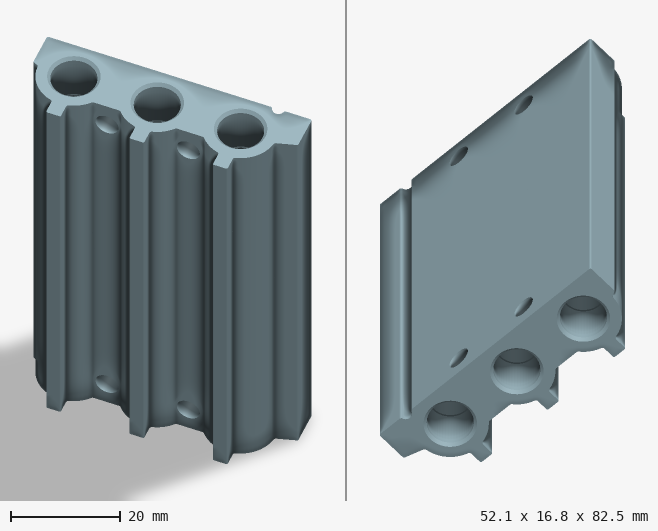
import cadquery as cq
import math

width = 52.1
depth = 16.8
length = 82.5

bore_count = 3
bore_pitch = 16.4
first_bore_x = 8.2
bore_xs = [first_bore_x + i * bore_pitch for i in range(bore_count)]
bore_y = -7.0
bore_diameter = 8.0
port_diameter = 8.6
port_depth = 9.9
port_mouth_diameter = 9.7
lobe_radius = 7.0
fin_width = 2.9

side_thickness = 6.6
left_slope = math.radians(25)
right_slope = math.radians(16)
web_thickness = 11.4
corner_radius = 0.3
fin_tip_radius = 0.25
root_radius = 0.5

groove_x = 45.5
groove_radius = 1.15
groove_mouth_radius = 0.5

hole_diameter = 4.5
hole_spacing = 16.0
hole_center_x = 24.5
hole_end_distance = 5.0


def plate():
    """Back plate with rounded corners that tapers from the outer lobes to both sides."""
    left_bore_x = bore_xs[0]
    right_bore_x = bore_xs[-1]
    left_slope_y = -side_thickness - left_bore_x * math.tan(left_slope)
    right_slope_y = -side_thickness - (width - right_bore_x) * math.tan(right_slope)
    outline = [
        (0, 0),
        (width, 0),
        (width, -side_thickness),
        (right_bore_x, right_slope_y),
        (right_bore_x, -web_thickness),
        (left_bore_x, -web_thickness),
        (left_bore_x, left_slope_y),
        (0, -side_thickness),
    ]
    slab = cq.Workplane("XY").polyline(outline).close().extrude(length)
    return slab.edges("|Z and (<X or >X)").fillet(corner_radius)


def lobe_with_fin(x):
    """Round lobe around one bore with the fin that points toward -Y."""
    lobe = cq.Workplane("XY").center(x, bore_y).circle(lobe_radius).extrude(length)
    fin_height = depth + bore_y
    fin = (
        cq.Workplane("XY")
        .center(x, bore_y - fin_height / 2)
        .rect(fin_width, fin_height)
        .extrude(length)
        .edges("|Z and <Y")
        .fillet(fin_tip_radius)
    )
    return lobe.union(fin)


def bore(x):
    """Through bore with a wider, chamfered port at each end."""
    chamfer = (port_mouth_diameter - port_diameter) / 2
    half_section = [
        (0, 0),
        (port_mouth_diameter / 2, 0),
        (port_diameter / 2, chamfer),
        (port_diameter / 2, port_depth),
        (bore_diameter / 2, port_depth),
        (bore_diameter / 2, length - port_depth),
        (port_diameter / 2, length - port_depth),
        (port_diameter / 2, length - chamfer),
        (port_mouth_diameter / 2, length),
        (0, length),
    ]
    turned = cq.Workplane("XZ").polyline(half_section).close().revolve(360, (0, 0, 0), (0, 1, 0))
    return turned.translate((x, bore_y, 0))


def mounting_holes():
    """Four holes along Y, two near each end."""
    hole_row_spacing = length - 2 * hole_end_distance
    return (
        cq.Workplane("XZ", origin=(hole_center_x, 0, length / 2))
        .rarray(hole_spacing, hole_row_spacing, 2, 2)
        .circle(hole_diameter / 2)
        .extrude(depth)
    )


def lengthwise_edges(x_min, x_max, y_min, y_max):
    """Selector for edges whose middle lies inside a rectangle of the cross-section."""
    return cq.selectors.BoxSelector((x_min, y_min, 0), (x_max, y_max, length))


body = plate()
for bore_x in bore_xs:
    body = body.union(lobe_with_fin(bore_x))
fin_root_limit = bore_y - lobe_radius
plate_margin = 2 * corner_radius
root_edges = lengthwise_edges(plate_margin, width - plate_margin, fin_root_limit, -side_thickness)
body = body.edges("|Z").edges(root_edges).fillet(root_radius)

groove = cq.Workplane("XY").center(groove_x, 0).circle(groove_radius).extrude(length)
mouth_reach = groove_radius + groove_mouth_radius
mouth_edges = lengthwise_edges(groove_x - mouth_reach, groove_x + mouth_reach, -mouth_reach, mouth_reach)
body = body.cut(groove).edges("|Z").edges(mouth_edges).fillet(groove_mouth_radius)

for bore_x in bore_xs:
    body = body.cut(bore(bore_x))
result = body.cut(mounting_holes())